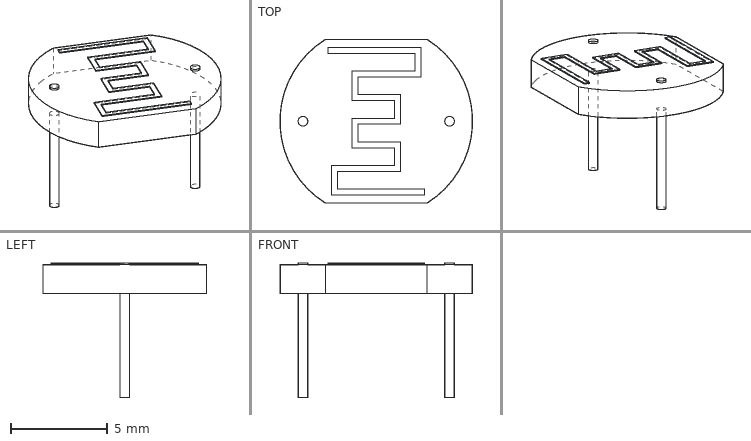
import cadquery as cq

disc_diameter = 10.0
width_across_flats = 8.5
disc_thickness = 1.5

lead_diameter = 0.5
lead_spacing = 7.6
lead_length_below = 5.4
lead_height_above = 0.1

track_thickness = 0.05
track_width = 0.3
track_extent_y = 7.65
end_reach = 2.5
outer_reach = 2.32
inner_reach = 1.25

track_edges = [
    -end_reach,
    outer_reach,
    -inner_reach,
    inner_reach,
    -inner_reach,
    inner_reach,
    -outer_reach,
    end_reach,
]
row_count = len(track_edges) - 1
row_pitch = (track_extent_y - track_width) / (row_count - 1)
track_bottom = disc_thickness + lead_height_above - track_thickness


def make_housing():
    """Flat-sided disc joined with its two leads."""
    disc = cq.Workplane("XY").circle(disc_diameter / 2).extrude(disc_thickness)
    flats = cq.Workplane("XY").rect(disc_diameter, width_across_flats).extrude(disc_thickness)
    leads = (
        cq.Workplane("XY", origin=(0, 0, -lead_length_below))
        .pushPoints([(-lead_spacing / 2, 0), (lead_spacing / 2, 0)])
        .circle(lead_diameter / 2)
        .extrude(lead_length_below + disc_thickness + lead_height_above)
    )
    return disc.intersect(flats).union(leads)


def track_bar(x_start, x_end, y_start, y_end):
    """Rectangular piece of track between two opposite corners."""
    return (
        cq.Workplane("XY", origin=((x_start + x_end) / 2, (y_start + y_end) / 2, track_bottom))
        .rect(abs(x_end - x_start), abs(y_end - y_start))
        .extrude(track_thickness)
    )


def make_track():
    """Rows along X, each joined to the row before it by a link along Y."""
    track = cq.Workplane("XY")
    for row in range(row_count):
        row_start = track_edges[row]
        row_end = track_edges[row + 1]
        row_top = track_extent_y / 2 - row * row_pitch
        row_bottom = row_top - track_width
        track = track.add(track_bar(row_start, row_end, row_top, row_bottom))
        if row > 0:
            inward = track_width if row_end > row_start else -track_width
            link_top = row_top + row_pitch
            track = track.add(track_bar(row_start, row_start + inward, link_top, row_bottom))
    return track.combine()


housing = make_housing()
track = make_track()

result = cq.Compound.makeCompound([housing.solids().val(), track.solids().val()])